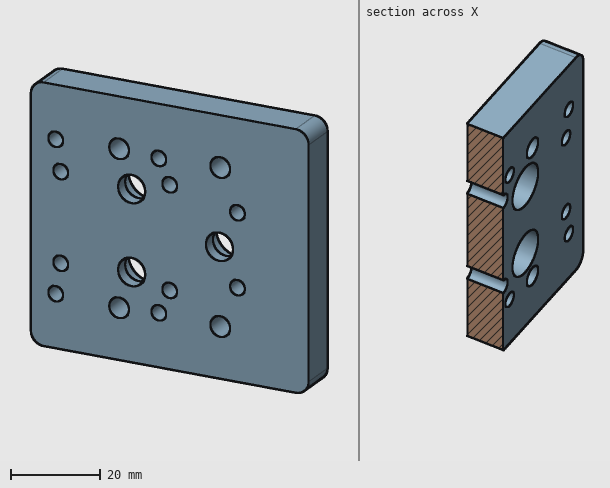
import cadquery as cq

width = 69.85
thickness = 9.5
height = 63.5
corner_radius = 6.5 / 2

front_y = -thickness / 2
back_y = thickness / 2

small_hole_diameter = 3.7
small_hole_pairs = [(-28.65, 18.6), (-27.4, 11.05), (-2.7, 18.6), (0.0, 12.7), (17.05, 9.0)]
medium_hole_diameter = 4.95
medium_hole_pairs = [(-12.7, 19.15), (12.7, 19.15)]

bolt_hole_diameter = 6.8
bolt_centers = [(-9.6, 10.0), (-9.6, -10.0), (12.5, 0.0)]
counterbore_diameter = 11.25
bolt_web_thickness = 3.5
counterbore_depth = thickness - bolt_web_thickness


def mirrored(pairs):
    """Hole centres above and below the Z = 0 plane."""
    return [(x, side * z) for x, z in pairs for side in (1, -1)]


def cylinders(points, diameter, start_y, depth):
    """Cylinders along +Y, starting at the given Y."""
    plane = cq.Workplane("XZ", origin=(0, start_y, 0))
    return plane.pushPoints(points).circle(diameter / 2).extrude(-depth)


plate = cq.Workplane("XY").box(width, thickness, height)
plate = plate.edges("|Y").fillet(corner_radius)

small_holes = cylinders(mirrored(small_hole_pairs), small_hole_diameter, front_y, thickness)
medium_holes = cylinders(mirrored(medium_hole_pairs), medium_hole_diameter, front_y, thickness)

bolt_holes = cylinders(bolt_centers, bolt_hole_diameter, front_y, thickness)
counterbores = cylinders(bolt_centers, counterbore_diameter, back_y - counterbore_depth, counterbore_depth)

result = plate.cut(small_holes).cut(medium_holes).cut(bolt_holes).cut(counterbores)